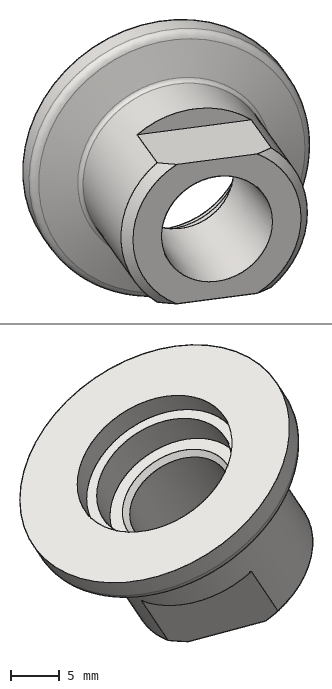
import cadquery as cq
import math

length = 19.0
flange_radius = 15.0
hub_radius = 10.0

rim_edge_x = 3.0
cone_angle = 15.0
rim_fillet = 1.0
hub_fillet = 0.55

end_chamfer = 1.0
flat_start_x = 11.0
flat_spacing = 15.8

entry_radius = 8.6
entry_depth = 2.5
seat_radius = 7.5
seat_depth = 6.0
bore_radius = 5.55
bore_taper = 1 / 16
bore_chamfer = 0.57


def make_body():
    cone_end_x = rim_edge_x + (flange_radius - hub_radius) * math.tan(math.radians(cone_angle))
    profile = (
        cq.Workplane("XY")
        .moveTo(0, 0)
        .lineTo(0, flange_radius)
        .lineTo(rim_edge_x, flange_radius)
        .lineTo(cone_end_x, hub_radius)
        .lineTo(length - end_chamfer, hub_radius)
        .lineTo(length, hub_radius - end_chamfer)
        .lineTo(length, 0)
        .close()
    )
    body = profile.revolve(360, (0, 0, 0), (1, 0, 0))
    for edge_x, fillet in ((rim_edge_x, rim_fillet), (cone_end_x, hub_fillet)):
        body = body.edges(cq.selectors.NearestToPointSelector((edge_x, 0, 0))).fillet(fillet)
    return body


def make_bore():
    taper_start_x = seat_depth + bore_chamfer
    mouth_radius = bore_radius + (length - taper_start_x) * bore_taper / 2
    profile = (
        cq.Workplane("XY")
        .moveTo(0, 0)
        .lineTo(0, entry_radius)
        .lineTo(entry_depth, entry_radius)
        .lineTo(entry_depth, seat_radius)
        .lineTo(seat_depth, seat_radius)
        .lineTo(seat_depth, bore_radius + bore_chamfer)
        .lineTo(taper_start_x, bore_radius)
        .lineTo(length, mouth_radius)
        .lineTo(length, 0)
        .close()
    )
    return profile.revolve(360, (0, 0, 0), (1, 0, 0))


def cut_flats(body):
    flat_length = length - flat_start_x
    for side in (1, -1):
        block = cq.Workplane("XY").box(
            flat_length, 2 * hub_radius, hub_radius, centered=(False, True, True)
        )
        center_z = side * (flat_spacing + hub_radius) / 2
        body = body.cut(block.translate((flat_start_x, 0, center_z)))
    return body


result = cut_flats(make_body()).cut(make_bore())